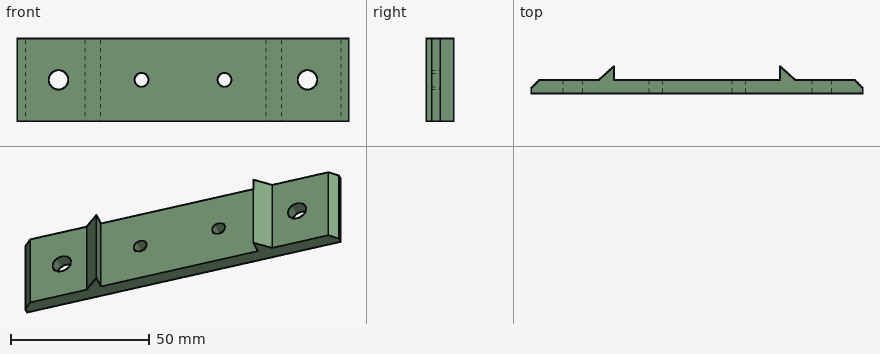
import cadquery as cq

length = 120.0
height = 30.0
total_depth = 10.0
plate_depth = total_depth / 2
end_chamfer = 3.0

rib_gap = 60.0
rib_width = 5.5

outer_hole_diameter = 7.0
outer_hole_spacing = 90.0
inner_hole_diameter = 4.9
inner_hole_spacing = 30.0


def extrude_profile(points):
    """Extrude an XY outline over the full height, centred on z = 0."""
    return cq.Workplane("XY").polyline(points).close().extrude(height / 2, both=True)


def make_plate():
    half_length = length / 2
    return extrude_profile([
        (-half_length, 0),
        (half_length, 0),
        (half_length, plate_depth - end_chamfer),
        (half_length - end_chamfer, plate_depth),
        (-half_length + end_chamfer, plate_depth),
        (-half_length, plate_depth - end_chamfer),
    ])


def make_rib(side):
    """Wedge rib on the +X (side = 1) or -X (side = -1) half, rooted in the plate."""
    inner_x = side * rib_gap / 2
    outer_x = side * (rib_gap / 2 + rib_width)
    return extrude_profile([
        (inner_x, 0),
        (outer_x, 0),
        (outer_x, plate_depth),
        (inner_x, total_depth),
    ])


def make_hole_pair(spacing, diameter):
    """Cutters along +Y through the whole part."""
    return (
        cq.Workplane("XZ")
        .pushPoints([(-spacing / 2, 0), (spacing / 2, 0)])
        .circle(diameter / 2)
        .extrude(-total_depth)
    )


result = make_plate()
for side in (-1, 1):
    result = result.union(make_rib(side))
result = result.cut(make_hole_pair(outer_hole_spacing, outer_hole_diameter))
result = result.cut(make_hole_pair(inner_hole_spacing, inner_hole_diameter))